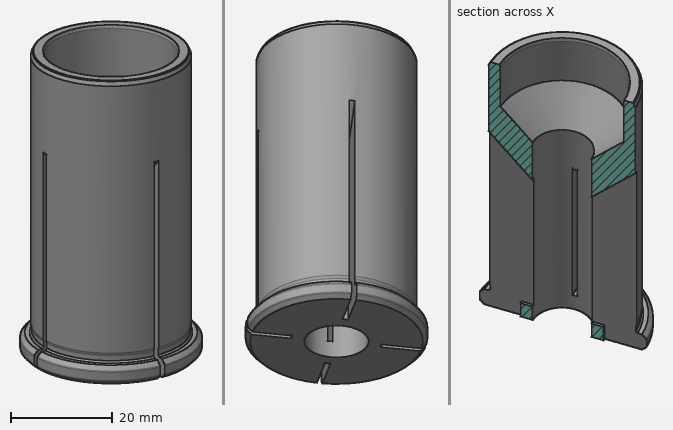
import cadquery as cq
import math

length = 64.0
body_radius = 31.75 / 2
lead_in_height = 1.0
lead_in_inset = 0.4
rim_bevel = 0.2

flange_radius = 36.0 / 2
flange_height = 4.0
flange_chamfer = 0.95
flange_round = 0.3
neck_radius = 15.7
neck_start = 4.35
neck_end = 5.45
neck_taper_height = 0.65

bore_radius = 12.7 / 2
socket_radius = 26.5 / 2
socket_depth = 10.9
funnel_angle = 45.0
socket_chamfer_width = 0.2
socket_chamfer_height = 0.65

slot_count = 4
slot_width = 1.1
slot_top = 45.8
slot_roof_angle = 45.0
web_height = 3.6
web_radius = 8.95


def make_outer_body():
    """Revolve the solid outline: flange, neck, body and tapered rim."""
    chamfered_radius = flange_radius - flange_chamfer
    neck_foot_radius = neck_radius + neck_start - flange_height
    rim_radius = body_radius - lead_in_inset
    body = (
        cq.Workplane("XZ")
        .moveTo(0, 0)
        .lineTo(chamfered_radius, 0)
        .lineTo(flange_radius, flange_chamfer)
        .lineTo(flange_radius, flange_height - flange_chamfer)
        .lineTo(chamfered_radius, flange_height)
        .lineTo(neck_foot_radius, flange_height)
        .lineTo(neck_radius, neck_start)
        .lineTo(neck_radius, neck_end)
        .lineTo(body_radius, neck_end + neck_taper_height)
        .lineTo(body_radius, length - lead_in_height)
        .lineTo(rim_radius, length - rim_bevel)
        .lineTo(rim_radius - rim_bevel, length)
        .lineTo(0, length)
        .close()
        .revolve(360, (0, 0), (0, 1))
    )
    corners = cq.selectors.BoxSelector(
        (-flange_radius, -flange_radius, flange_chamfer / 2),
        (flange_radius, flange_radius, flange_height - flange_chamfer / 2),
    )
    return body.edges("%CIRCLE").edges(corners).fillet(flange_round)


def make_bore():
    """Revolve the through bore, the funnel and the chamfered socket."""
    socket_floor = length - socket_depth
    funnel_height = (socket_radius - bore_radius) * math.tan(math.radians(funnel_angle))
    return (
        cq.Workplane("XZ")
        .moveTo(0, 0)
        .lineTo(bore_radius, 0)
        .lineTo(bore_radius, socket_floor - funnel_height)
        .lineTo(socket_radius, socket_floor)
        .lineTo(socket_radius, length - socket_chamfer_height)
        .lineTo(socket_radius + socket_chamfer_width, length)
        .lineTo(0, length)
        .close()
        .revolve(360, (0, 0), (0, 1))
    )


def make_slot():
    """One radial slot with a sloping roof, stopping at a low web around the bore."""
    roof_slope = math.tan(math.radians(slot_roof_angle))
    roof_at_axis = slot_top - body_radius * roof_slope
    roof_at_flange = slot_top + (flange_radius - body_radius) * roof_slope
    return (
        cq.Workplane("XZ")
        .moveTo(0, web_height)
        .lineTo(web_radius, web_height)
        .lineTo(web_radius, 0)
        .lineTo(flange_radius, 0)
        .lineTo(flange_radius, roof_at_flange)
        .lineTo(0, roof_at_axis)
        .close()
        .extrude(slot_width / 2, both=True)
    )


result = make_outer_body().cut(make_bore())
slot = make_slot()
for index in range(slot_count):
    turned_slot = slot.rotate((0, 0, 0), (0, 0, 1), index * 360 / slot_count)
    result = result.cut(turned_slot)